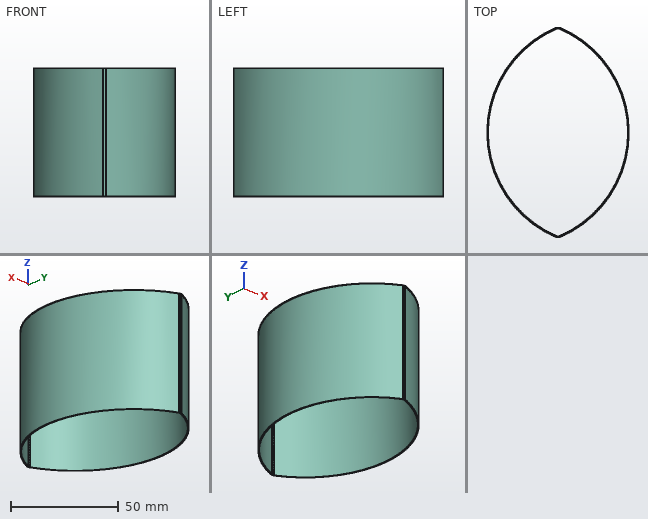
import cadquery as cq
import math

width = 66.3
length = 97.9
height = 60.0

wall = 0.5
tip_flat = 1.5

side_rise = (width - tip_flat) / 2
side_radius = ((length / 2) ** 2 + side_rise ** 2) / (2 * side_rise)
center_offset = side_radius - width / 2


def pointed_oval(inset):
    """Solid pointed oval with every face moved inward by the inset."""
    half_width = width / 2 - inset
    half_length = length / 2 - inset
    radius = side_radius - inset
    half_flat = math.sqrt(radius ** 2 - half_length ** 2) - center_offset
    return (
        cq.Workplane("XY")
        .moveTo(half_flat, -half_length)
        .threePointArc((half_width, 0), (half_flat, half_length))
        .lineTo(-half_flat, half_length)
        .threePointArc((-half_width, 0), (-half_flat, -half_length))
        .close()
        .extrude(height)
    )


result = pointed_oval(0).cut(pointed_oval(wall))